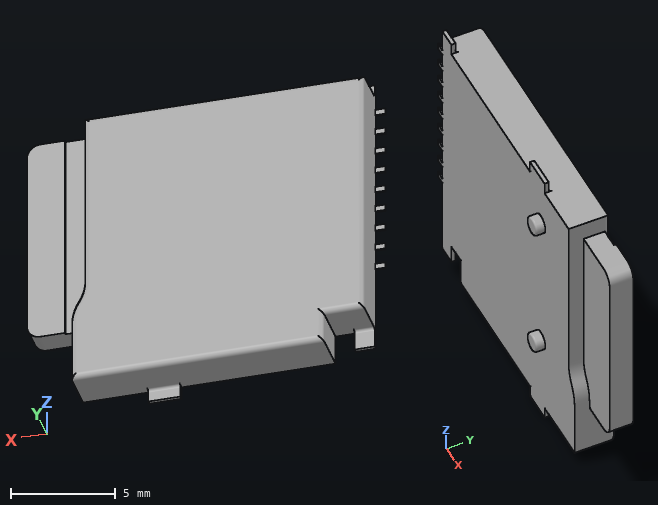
import cadquery as cq
import math

LENGTH = 17.2
HEIGHT = 16.1
BODY_DEPTH = 2.2

PIN_LENGTH = 0.5
TAB_REACH = 0.65
HOUSING_LEFT = PIN_LENGTH
HOUSING_BOTTOM = TAB_REACH
HOUSING_TOP = HEIGHT - TAB_REACH
HOUSING_RIGHT_UPPER = 14.35
HOUSING_RIGHT_LOWER = 15.0
CURVE_BOTTOM = 3.89
CURVE_RADIUS = 2.24
NOTCH_RIGHT = 2.5
NOTCH_TOP = 2.2
BACK_FILLET = 0.3

TAB_THICKNESS = 0.22
TAB_BEND_RADIUS = 0.15
END_TAB_WIDTH = 1.0
LEG_BOTTOM = 1.15
SIDE_TAB_LEFT = 10.11
SIDE_TAB_WIDTH = 1.6

PIN_COUNT = 9
PIN_PITCH = 1.1
PIN_WIDTH = 0.31
PIN_THICKNESS = 0.1
FIRST_PIN_Z = 5.81

PEG_X = 11.3
PEG_HEIGHTS = (5.0, 13.0)
PEG_DIAMETER = 1.0
PEG_LENGTH = 0.5
PEG_FILLET = 0.1

CARD_BOTTOM = 3.4
CARD_TOP = 14.41
CARD_FRONT = 0.79
CARD_BACK = 1.93
CARD_CORNER_RADIUS = 0.65
LIP_LEFT = 15.33
LIP_BACK = 2.05


def box(x0, x1, y0, y1, z0, z1):
    """Axis-aligned block between the given limits."""
    return cq.Workplane("XY").box(x1 - x0, y1 - y0, z1 - z0, centered=False).translate((x0, y0, z0))


def housing():
    """Notched block whose right side steps in through an S curve, rounded around its back face."""
    step = HOUSING_RIGHT_LOWER - HOUSING_RIGHT_UPPER
    turn = math.acos(1 - step / 2 / CURVE_RADIUS)
    half_rise = CURVE_RADIUS * math.sin(turn)
    mid_x = CURVE_RADIUS * (1 - math.cos(turn / 2))
    mid_z = CURVE_RADIUS * math.sin(turn / 2)
    curve_top = CURVE_BOTTOM + 2 * half_rise
    outline = (
        cq.Workplane("XZ")
        .moveTo(NOTCH_RIGHT, HOUSING_BOTTOM)
        .lineTo(HOUSING_RIGHT_LOWER, HOUSING_BOTTOM)
        .lineTo(HOUSING_RIGHT_LOWER, CURVE_BOTTOM)
        .threePointArc(
            (HOUSING_RIGHT_LOWER - mid_x, CURVE_BOTTOM + mid_z),
            (HOUSING_RIGHT_LOWER - step / 2, CURVE_BOTTOM + half_rise),
        )
        .threePointArc(
            (HOUSING_RIGHT_UPPER + mid_x, curve_top - mid_z),
            (HOUSING_RIGHT_UPPER, curve_top),
        )
        .lineTo(HOUSING_RIGHT_UPPER, HOUSING_TOP)
        .lineTo(HOUSING_LEFT, HOUSING_TOP)
        .lineTo(HOUSING_LEFT, NOTCH_TOP)
        .lineTo(NOTCH_RIGHT, NOTCH_TOP)
        .close()
    )
    return outline.extrude(-BODY_DEPTH).faces(">Y").edges().fillet(BACK_FILLET)


def tab(left, width, root_z, tip_z):
    """Flat tab on the mounting face, blended into the housing wall by a concave bend."""
    outward = math.copysign(1, tip_z - root_z)
    bend_y = TAB_THICKNESS + TAB_BEND_RADIUS
    bend_z = root_z + outward * TAB_BEND_RADIUS
    sagitta = TAB_BEND_RADIUS * (1 - math.sqrt(0.5))
    return (
        cq.Workplane("YZ", origin=(left, 0, 0))
        .moveTo(0, root_z)
        .lineTo(0, tip_z)
        .lineTo(TAB_THICKNESS, tip_z)
        .lineTo(TAB_THICKNESS, bend_z)
        .threePointArc((TAB_THICKNESS + sagitta, root_z + outward * sagitta), (bend_y, root_z))
        .close()
        .extrude(width)
    )


def solder_tabs():
    """Upper and lower side tabs, the upper end tab and the leg beside the notch."""
    return (
        tab(SIDE_TAB_LEFT, SIDE_TAB_WIDTH, HOUSING_TOP, HEIGHT)
        .union(tab(SIDE_TAB_LEFT, SIDE_TAB_WIDTH, HOUSING_BOTTOM, 0))
        .union(tab(HOUSING_LEFT, END_TAB_WIDTH, HOUSING_TOP, HEIGHT))
        .union(tab(HOUSING_LEFT, END_TAB_WIDTH, NOTCH_TOP, LEG_BOTTOM))
    )


def contact_pins():
    """Row of thin pins along the left edge, flush with the mounting face."""
    pin_bottom = FIRST_PIN_Z - PIN_WIDTH / 2
    first = box(0, PIN_LENGTH, 0, PIN_THICKNESS, pin_bottom, pin_bottom + PIN_WIDTH)
    pins = first
    for index in range(1, PIN_COUNT):
        pins = pins.union(first.translate((0, 0, index * PIN_PITCH)))
    return pins


def locating_pegs():
    """Round pegs with softened tips standing out of the mounting face."""
    centers = [(PEG_X, z) for z in PEG_HEIGHTS]
    pegs = cq.Workplane("XZ").pushPoints(centers).circle(PEG_DIAMETER / 2).extrude(PEG_LENGTH)
    return pegs.faces("<Y").edges().fillet(PEG_FILLET)


def card():
    """Inserted card with rounded outer corners and a thicker grip lip."""
    slab = box(HOUSING_RIGHT_UPPER, LENGTH, CARD_FRONT, CARD_BACK, CARD_BOTTOM, CARD_TOP)
    lip = box(LIP_LEFT, LENGTH, CARD_FRONT, LIP_BACK, CARD_BOTTOM, CARD_TOP)
    return slab.union(lip).edges("|Y and >X").fillet(CARD_CORNER_RADIUS)


result = housing().union(card()).union(solder_tabs()).union(contact_pins()).union(locating_pegs())